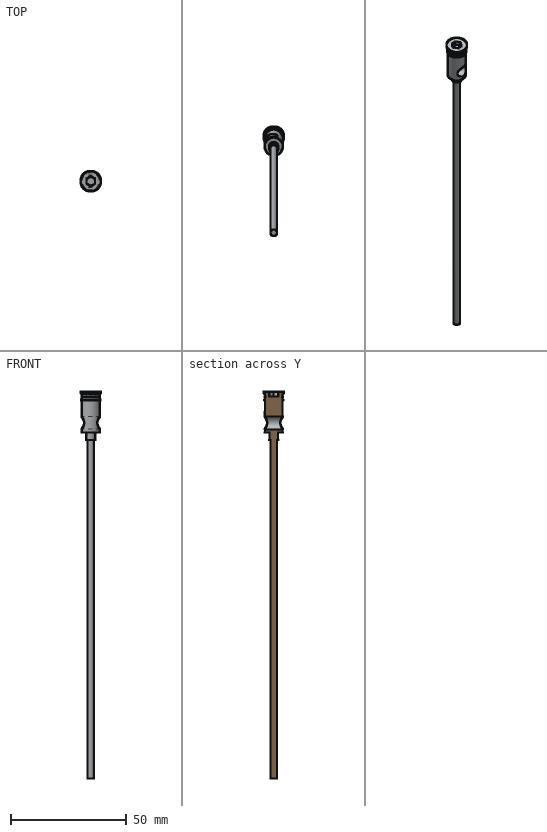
import cadquery as cq
import math

total_length = 168.0
rod_diameter = 3.0
collar_diameter = 4.0
collar_length = 3.2
body_diameter = 8.0
body_length = 17.8

rim_diameter = 9.0
rim_height = 0.5

groove_drop = 2.0
groove_size = 0.3

bead_drop = 3.55
bead_radius = 0.25

hole_diameter = 5.5
hole_drop = 13.5
socket_across_flats = 3.8
socket_depth = 2.0
socket_sides = 6

top_z = total_length
body_bottom_z = top_z - body_length
collar_bottom_z = body_bottom_z - collar_length
body_radius = body_diameter / 2
rim_radius = rim_diameter / 2


def make_shaft():
    """Rod, collar, grooved body and rim as one revolved outline."""
    rod_radius = rod_diameter / 2
    collar_radius = collar_diameter / 2
    rim_bottom_z = top_z - rim_height
    rim_cone_bottom_z = rim_bottom_z - (rim_radius - body_radius)
    groove_top_z = top_z - groove_drop
    groove_bottom_z = groove_top_z - groove_size
    outline = [
        (0, 0),
        (rod_radius, 0),
        (rod_radius, collar_bottom_z),
        (collar_radius, collar_bottom_z),
        (collar_radius, body_bottom_z),
        (body_radius, body_bottom_z),
        (body_radius, groove_bottom_z),
        (body_radius - groove_size, groove_bottom_z),
        (body_radius, groove_top_z),
        (body_radius, rim_cone_bottom_z),
        (rim_radius, rim_bottom_z),
        (rim_radius, top_z),
        (0, top_z),
    ]
    profile = cq.Workplane("XZ").polyline(outline).close()
    return profile.revolve(360, (0, 0, 0), (0, 1, 0))


def make_bead():
    """Ring of round section centred on the body's surface."""
    section = cq.Workplane("XZ").moveTo(body_radius, top_z - bead_drop).circle(bead_radius)
    return section.revolve(360, (0, 0, 0), (0, 1, 0))


def make_cross_hole():
    """Round cutter passing through the body along X."""
    circle = cq.Workplane("YZ").center(0, top_z - hole_drop).circle(hole_diameter / 2)
    return circle.extrude(body_diameter, both=True)


def make_socket():
    """Hexagonal cutter with two of its corners on the Y axis."""
    half_side_angle = 180 / socket_sides
    corner_diameter = socket_across_flats / math.cos(math.radians(half_side_angle))
    hexagon = cq.Workplane("XY").workplane(offset=top_z).polygon(socket_sides, corner_diameter)
    return hexagon.extrude(-socket_depth).rotate((0, 0, 0), (0, 0, 1), half_side_angle)


result = make_shaft().union(make_bead()).cut(make_cross_hole()).cut(make_socket())